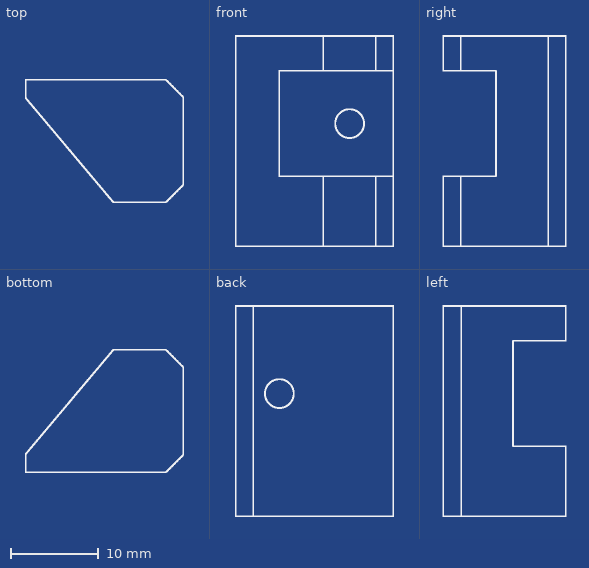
import cadquery as cq

width = 18.0
depth = 14.0
height = 24.0

corner_chamfer = 2.0
left_side_depth = 2.1
front_face_start = 10.0

slot_depth = 6.0
slot_height = 12.0
slot_center_z = 14.0
hole_diameter = 3.26
hole_x = 13.0


def make_body():
    """Upright block with a sloping front-left face and chamfered right edges."""
    outline = [
        (front_face_start, 0),
        (width - corner_chamfer, 0),
        (width, corner_chamfer),
        (width, depth - corner_chamfer),
        (width - corner_chamfer, depth),
        (0, depth),
        (0, depth - left_side_depth),
    ]
    return cq.Workplane("XY").polyline(outline).close().extrude(height)


def make_slot():
    """Rectangular slot running the full width, open to the front."""
    return (
        cq.Workplane("XY")
        .box(width, slot_depth, slot_height, centered=(False, False, True))
        .translate((0, 0, slot_center_z))
    )


def make_hole():
    """Hole along Y, centred on the slot height and passing through the back."""
    return (
        cq.Workplane("XZ")
        .center(hole_x, slot_center_z)
        .circle(hole_diameter / 2)
        .extrude(-depth)
    )


result = make_body().cut(make_slot()).cut(make_hole())